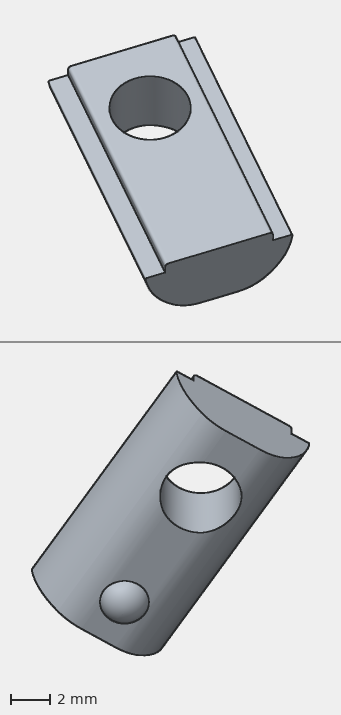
import cadquery as cq
import math

length = 13.8
total_height = 4.9
body_height = 3.99

rail_width = 5.88
rail_height = 0.66
rail_edge_radius = 0.21

belly_radius = 4.03
belly_center_z = -0.3
lip_radius = 0.1
flat_edge_radius = 2.35

hole_diameter = 4.14
hole_x = 4
ball_radius = 1.31
ball_x = 11.29


def belly_half_width(z):
    """Half the width of the round underside at height z."""
    return math.sqrt(belly_radius**2 - (z - belly_center_z) ** 2)


def make_body():
    """Extrude the T-shaped, round-bottomed section along X."""
    shoulder = belly_half_width(-rail_height)
    flat = belly_half_width(-body_height)
    middle_z = -(rail_height + body_height) / 2
    middle = belly_half_width(middle_z)
    rail = rail_width / 2
    body = (
        cq.Workplane("YZ")
        .moveTo(-rail, 0)
        .lineTo(rail, 0)
        .lineTo(rail, -rail_height)
        .lineTo(shoulder, -rail_height)
        .threePointArc((middle, middle_z), (flat, -body_height))
        .lineTo(-flat, -body_height)
        .threePointArc((-middle, middle_z), (-shoulder, -rail_height))
        .lineTo(-rail, -rail_height)
        .close()
        .extrude(length)
    )
    body = body.faces(">Z").edges("|X").fillet(rail_edge_radius)
    body = body.edges("|X").edges("<Y or >Y").fillet(lip_radius)
    return body.faces("<Z").edges("|X").fillet(flat_edge_radius)


def make_hole():
    """Bore running through the full body height."""
    return (
        cq.Workplane("XY")
        .center(hole_x, 0)
        .circle(hole_diameter / 2)
        .extrude(-body_height)
    )


def make_ball():
    """Ball that is partly sunk into the bottom flat."""
    ball_center_z = ball_radius - total_height
    return cq.Workplane("XY").sphere(ball_radius).translate((ball_x, 0, ball_center_z))


result = make_body().cut(make_hole()).union(make_ball())